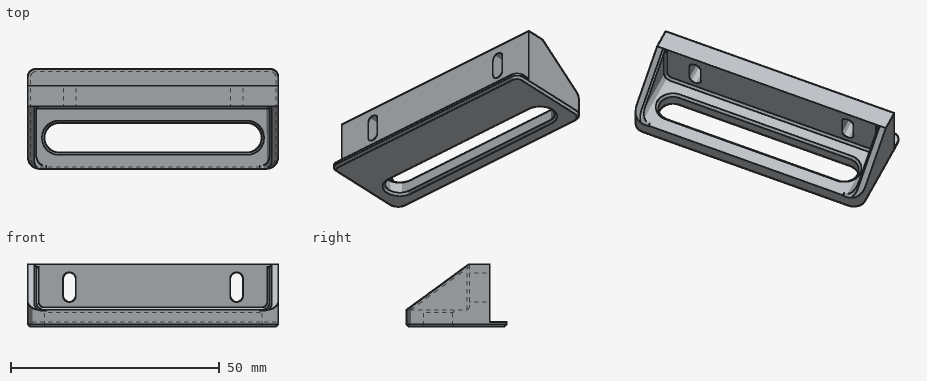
import cadquery as cq
import math

LENGTH = 60.0
DEPTH = 24.0
HEIGHT = 15.0

FLANGE_REACH = 4.0
FLANGE_THICKNESS = 1.2
FLANGE_CORNER_RADIUS = 2.0
WALL_THICKNESS = 5.0
BLOCK_DEPTH = DEPTH - FLANGE_REACH
WALL_FRONT = BLOCK_DEPTH - WALL_THICKNESS

FLOOR_HEIGHT = 4.0
CHEEK_THICKNESS = 2.05
SLOPE_RISE = HEIGHT - FLOOR_HEIGHT
SLOPE_LENGTH = math.hypot(WALL_FRONT, SLOPE_RISE)
CHEEK_FILLET = 2.0
FRONT_CORNER_RADIUS = 3.0
EDGE_CHAMFER = 0.6
RIM_CHAMFER = 0.5

FLOOR_SLOT_WIDTH = 7.0
FLOOR_SLOT_INSET = 4.0
FLOOR_SLOT_LENGTH = LENGTH - 2 * FLOOR_SLOT_INSET
FLOOR_SLOT_Y = WALL_FRONT / 2

MOUNT_SLOT_WIDTH = 3.0
MOUNT_SLOT_HEIGHT = 7.0
MOUNT_SLOT_SPACING = 40.0
MOUNT_SLOT_Z = 9.5


def make_base_plate():
    """Thin plate under the whole part, forming the rear flange."""
    return (
        cq.Workplane("XY")
        .box(LENGTH, DEPTH, FLANGE_THICKNESS, centered=(True, False, False))
        .edges("|Z and >Y")
        .fillet(FLANGE_CORNER_RADIUS)
        .edges("|Z and <Y")
        .fillet(FRONT_CORNER_RADIUS)
        .faces("<Z")
        .edges()
        .chamfer(EDGE_CHAMFER)
    )


def make_block():
    """Sloping block above the chamfered part of the plate."""
    profile = [
        (0, EDGE_CHAMFER),
        (BLOCK_DEPTH, EDGE_CHAMFER),
        (BLOCK_DEPTH, HEIGHT),
        (WALL_FRONT, HEIGHT),
        (0, FLOOR_HEIGHT),
    ]
    return (
        cq.Workplane("YZ")
        .polyline(profile)
        .close()
        .extrude(LENGTH / 2, both=True)
        .edges("|Z and <Y")
        .fillet(FRONT_CORNER_RADIUS)
    )


def make_pocket():
    """Space between the cheeks, open at the front and the top."""
    return (
        cq.Workplane("XY")
        .box(LENGTH - 2 * CHEEK_THICKNESS, WALL_FRONT + DEPTH, HEIGHT, centered=(True, False, False))
        .translate((0, -DEPTH, FLOOR_HEIGHT))
        .edges("|Y and <Z")
        .fillet(CHEEK_FILLET)
        .faces(">Y")
        .edges("not >Z")
        .chamfer(EDGE_CHAMFER)
    )


def rim_section(origin_y, growth, top):
    """Outline of the right side of the pocket on a plane parallel to the slope, enlarged by growth."""
    plane = cq.Plane(
        origin=(0, origin_y, FLOOR_HEIGHT),
        xDir=(1, 0, 0),
        normal=(0, -SLOPE_RISE, WALL_FRONT),
    )
    wall_x = LENGTH / 2 - CHEEK_THICKNESS + growth
    fillet_end_x = wall_x - CHEEK_FILLET
    inner_x = LENGTH / 2 - CHEEK_THICKNESS - CHEEK_FILLET - RIM_CHAMFER
    fillet_rise = CHEEK_FILLET * SLOPE_LENGTH / SLOPE_RISE
    return (
        cq.Workplane(plane)
        .moveTo(inner_x, -growth)
        .lineTo(fillet_end_x, -growth)
        .ellipseArc(CHEEK_FILLET, fillet_rise, 270, 360, startAtCurrent=True)
        .lineTo(wall_x, top)
        .lineTo(inner_x, top)
        .close()
        .wires()
        .val()
    )


def make_rim_chamfers():
    """Cutters for the chamfers where the cheeks and their fillets meet the sloping face."""
    inward_shift = RIM_CHAMFER * SLOPE_LENGTH / SLOPE_RISE
    lower_top = SLOPE_LENGTH * (1 - inward_shift / WALL_FRONT)
    outer = rim_section(0, RIM_CHAMFER, SLOPE_LENGTH)
    inner = rim_section(inward_shift, 0, lower_top)
    right = cq.Workplane(cq.Solid.makeLoft([outer, inner], True))
    return right.union(right.mirror("YZ"))


def floor_slot_prism(base_z, growth, height, taper=0):
    """Prism on the outline of the long slot, enlarged all round by growth."""
    return (
        cq.Workplane("XY", origin=(0, FLOOR_SLOT_Y, base_z))
        .slot2D(FLOOR_SLOT_LENGTH + 2 * growth, FLOOR_SLOT_WIDTH + 2 * growth)
        .extrude(height, taper=taper)
    )


def make_floor_slot():
    """Long through slot, chamfered at the floor and at the underside."""
    slot = floor_slot_prism(0, 0, FLOOR_HEIGHT)
    upper_mouth = floor_slot_prism(FLOOR_HEIGHT, EDGE_CHAMFER, -EDGE_CHAMFER, taper=45)
    lower_mouth = floor_slot_prism(0, EDGE_CHAMFER, EDGE_CHAMFER, taper=45)
    clearance = floor_slot_prism(FLOOR_HEIGHT, EDGE_CHAMFER, CHEEK_FILLET)
    return slot.union(upper_mouth).union(lower_mouth).union(clearance)


def make_mounting_slots():
    """Pair of upright slots through the back wall."""
    return (
        cq.Workplane("XZ", origin=(0, BLOCK_DEPTH, MOUNT_SLOT_Z))
        .pushPoints([(side * MOUNT_SLOT_SPACING / 2, 0) for side in (-1, 1)])
        .slot2D(MOUNT_SLOT_HEIGHT, MOUNT_SLOT_WIDTH, 90)
        .extrude(BLOCK_DEPTH)
    )


body = make_base_plate().union(make_block()).cut(make_pocket())
body = body.cut(make_rim_chamfers())
result = body.cut(make_floor_slot()).cut(make_mounting_slots())